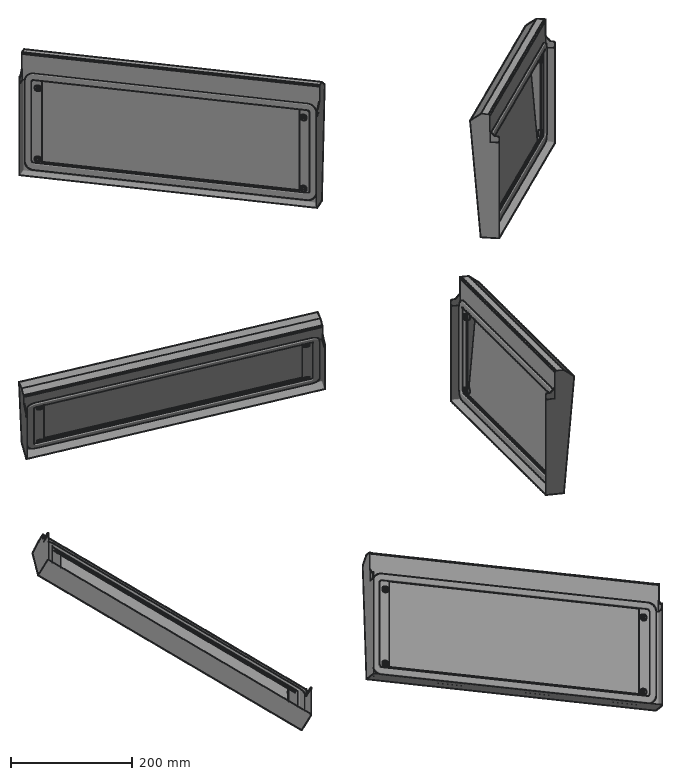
import cadquery as cq

WIDTH = 510.0
DEPTH = 49.5
HEIGHT = 215.0
WALL = 2.5

FRONT_Y = 16.0
BOTTOM_BACK_Y = 31.5
TOP_BACK_Y = 31.0
SHOULDER_Z = 202.0
TOP_CHAMFER = 2.5
END_SKIN = 1.3

RIM_THICKNESS = 1.5
RIM_ROOT_RADIUS = 1.8
RIM_NOSE_RADIUS = 0.7
RIM_TOP_Z = 166.5

EAR_TOP_Z = 185.5
EAR_NOSE_Z = 177.5
EAR_NOSE_RADIUS = 3.5

GASKET_SIDE_GAP = 5.5
GASKET_BOTTOM_Z = 6.0
GASKET_INNER_BOTTOM_Z = 18.5
GASKET_TOP_Z = 180.0
GASKET_BAND = 11.0
GASKET_THICKNESS = 3.5
GASKET_RADIUS = 15.0
GASKET_INNER_RADIUS = 4.5
GASKET_EDGE_RADIUS = 1.3

OPENING_WIDTH = 440.5
OPENING_BOTTOM_Z = 21.0
OPENING_TOP_Z = 169.0

BUSHING_RADIUS = 5.5
BUSHING_BORE_RADIUS = 2.5
BUSHING_LENGTH = 7.0
BUSHING_SPACING_X = 455.0
BUSHING_LOW_Z = 25.5
BUSHING_HIGH_Z = 154.0


def block(x_size, y_min, y_max, z_min, z_max):
    """Box centred on X between the given Y and Z limits."""
    return (
        cq.Workplane("XY")
        .box(x_size, y_max - y_min, z_max - z_min, centered=(True, False, False))
        .translate((0, y_min, z_min))
    )


def rod(x, z, radius, length):
    """Cylinder running back from the front wall plane."""
    return cq.Workplane("XZ", origin=(x, FRONT_Y, z)).circle(radius).extrude(-length)


def wedge_sketch(x_start):
    """Side outline of the housing on a plane at the given X."""
    return (
        cq.Workplane("YZ", origin=(x_start, 0, 0))
        .moveTo(FRONT_Y, 0)
        .lineTo(BOTTOM_BACK_Y, 0)
        .lineTo(DEPTH, SHOULDER_Z)
        .lineTo(TOP_BACK_Y, HEIGHT)
        .lineTo(FRONT_Y, HEIGHT)
        .close()
    )


def make_shell():
    """Hollow wedge with a chamfer along its top front edge."""
    outer = wedge_sketch(-WIDTH / 2).extrude(WIDTH)
    cavity = wedge_sketch(-WIDTH / 2 + WALL).offset2D(-WALL).extrude(WIDTH - 2 * WALL)
    chamfer_width = WIDTH - 2 * END_SKIN
    chamfer = (
        cq.Workplane("YZ", origin=(-chamfer_width / 2, 0, 0))
        .moveTo(FRONT_Y, HEIGHT)
        .lineTo(FRONT_Y + TOP_CHAMFER, HEIGHT)
        .lineTo(FRONT_Y, HEIGHT - TOP_CHAMFER)
        .close()
        .extrude(chamfer_width)
    )
    return outer.cut(cavity).cut(chamfer)


def make_rim():
    """U-shaped rim with rounded inside corners and a rounded front edge."""
    rim = block(WIDTH, 0, FRONT_Y, 0, RIM_TOP_Z)
    tray = block(WIDTH - 2 * RIM_THICKNESS, 0, FRONT_Y, RIM_THICKNESS, RIM_TOP_Z)
    tray = tray.edges("(>Y and (not >Z)) or (|Y and <Z)").fillet(RIM_ROOT_RADIUS)
    rim = rim.cut(tray)
    return rim.faces("<Y").edges("not(>Z)").fillet(RIM_NOSE_RADIUS)


def make_ear(x_start):
    """Thin side ear with a sloping top and a rounded nose."""
    slope_run = EAR_TOP_Z - EAR_NOSE_Z
    ear = (
        cq.Workplane("YZ", origin=(x_start, 0, 0))
        .moveTo(FRONT_Y, RIM_TOP_Z)
        .lineTo(0, RIM_TOP_Z)
        .lineTo(0, EAR_NOSE_Z)
        .lineTo(FRONT_Y - slope_run, EAR_NOSE_Z)
        .lineTo(FRONT_Y, EAR_TOP_Z)
        .close()
        .extrude(END_SKIN)
    )
    return ear.faces("<Y").edges("|X").fillet(EAR_NOSE_RADIUS)


def make_housing(bushing_places):
    """Shell, rim and ears in one piece, with the opening and the bushing holes."""
    housing = make_shell().union(make_rim())
    for x_start in (-WIDTH / 2, WIDTH / 2 - END_SKIN):
        housing = housing.union(make_ear(x_start))
    housing = housing.cut(
        block(OPENING_WIDTH, FRONT_Y, FRONT_Y + WALL, OPENING_BOTTOM_Z, OPENING_TOP_Z)
    )
    for x, z in bushing_places:
        housing = housing.cut(rod(x, z, BUSHING_RADIUS, WALL))
    return housing


def make_bushing(x, z):
    """Plain bushing, flush with the front wall and open at both ends."""
    sleeve = rod(x, z, BUSHING_RADIUS, BUSHING_LENGTH)
    return sleeve.cut(rod(x, z, BUSHING_BORE_RADIUS, BUSHING_LENGTH))


def rounded_slab(width, z_min, z_max, radius):
    """Slab on the front wall with rounded corners."""
    slab = block(width, FRONT_Y - GASKET_THICKNESS, FRONT_Y, z_min, z_max)
    return slab.edges("|Y").fillet(radius)


def make_gasket():
    """Flat rounded ring lying on the front wall."""
    width = WIDTH - 2 * GASKET_SIDE_GAP
    outer = rounded_slab(width, GASKET_BOTTOM_Z, GASKET_TOP_Z, GASKET_RADIUS)
    inner = rounded_slab(
        width - 2 * GASKET_BAND,
        GASKET_INNER_BOTTOM_Z,
        GASKET_TOP_Z - GASKET_BAND,
        GASKET_INNER_RADIUS,
    )
    return outer.cut(inner).faces("<Y").edges().fillet(GASKET_EDGE_RADIUS)


bushing_places = [
    (x, z)
    for x in (-BUSHING_SPACING_X / 2, BUSHING_SPACING_X / 2)
    for z in (BUSHING_LOW_Z, BUSHING_HIGH_Z)
]
housing = make_housing(bushing_places)
gasket = make_gasket()
bushings = [make_bushing(x, z) for x, z in bushing_places]

result = cq.Compound.makeCompound(
    [housing.val(), gasket.val(), *[bushing.val() for bushing in bushings]]
)